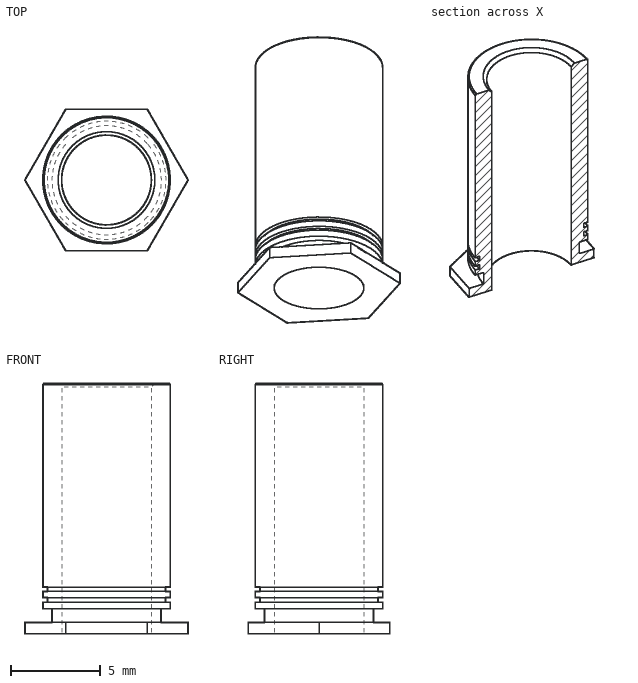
import cadquery as cq

head_across_flats = 7.9
head_thickness = 0.64

total_length = 14.0
barrel_diameter = 7.12
neck_diameter = 6.1
groove_diameter = 6.61
rim_chamfer = 0.08

neck_top = 1.4
lower_ring_top = 1.78
lower_groove_top = 2.02
upper_ring_top = 2.37
upper_groove_top = 2.61

bore_diameter = 5.0
bore_chamfer = 0.2


def disc(diameter, bottom, top):
    """Solid cylinder on the Z axis between two heights."""
    return cq.Workplane("XY").workplane(offset=bottom).circle(diameter / 2).extrude(top - bottom)


def hex_head():
    """Hexagonal plate with two corners on the X axis."""
    corner_diameter = 2 * head_across_flats / 3**0.5
    return cq.Workplane("XY").polygon(6, corner_diameter).extrude(head_thickness)


def barrel():
    """Neck, two retaining rings with grooves above them, and the plain sleeve."""
    sleeve = disc(barrel_diameter, upper_groove_top, total_length).faces(">Z").chamfer(rim_chamfer)
    sections = [
        (neck_diameter, head_thickness, neck_top),
        (barrel_diameter, neck_top, lower_ring_top),
        (groove_diameter, lower_ring_top, lower_groove_top),
        (barrel_diameter, lower_groove_top, upper_ring_top),
        (groove_diameter, upper_ring_top, upper_groove_top),
    ]
    for diameter, bottom, top in sections:
        sleeve = sleeve.union(disc(diameter, bottom, top))
    return sleeve


def bore():
    """Through hole with a conical lead-in at the open end of the sleeve."""
    lead_in = (
        cq.Workplane("XY")
        .workplane(offset=total_length)
        .circle(bore_diameter / 2 + bore_chamfer)
        .workplane(offset=-bore_chamfer)
        .circle(bore_diameter / 2)
        .loft()
    )
    return disc(bore_diameter, 0, total_length).union(lead_in)


result = hex_head().union(barrel()).cut(bore())